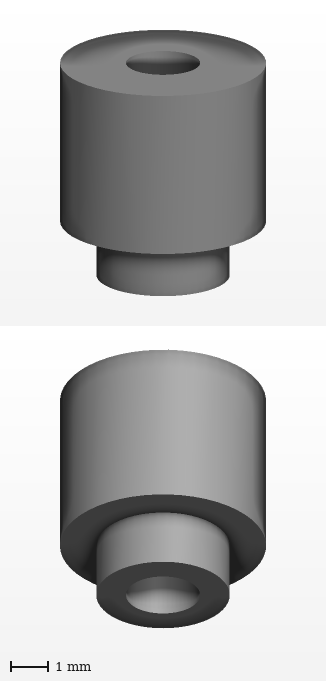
import cadquery as cq

total_height = 6.03
body_diameter = 5.56
body_height = 4.5
spigot_diameter = 3.6
bore_diameter = 2.0
spigot_height = total_height - body_height

spigot = cq.Workplane("XY").circle(spigot_diameter / 2).extrude(spigot_height)

body = (
    cq.Workplane("XY")
    .workplane(offset=spigot_height)
    .circle(body_diameter / 2)
    .extrude(body_height)
)

bore = cq.Workplane("XY").circle(bore_diameter / 2).extrude(total_height)

result = spigot.union(body).cut(bore)